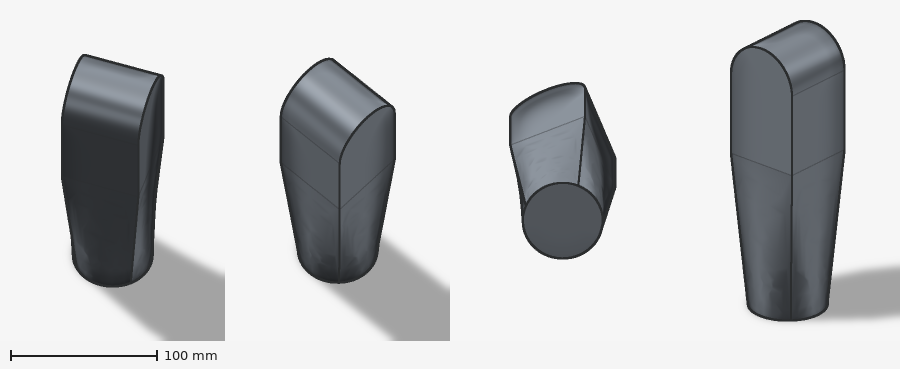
import cadquery as cq
import math

total_height = 202.5
width = 55.0
shank_diameter = 54.7
shank_height = 115.0

half_width = width / 2
head_axis_height = total_height - half_width


def make_shank():
    """Ruled transition from a circle at the base to the square of the head."""
    diagonal = shank_diameter / 2 * math.sqrt(0.5)
    radius = shank_diameter / 2
    return (
        cq.Workplane("XY")
        .moveTo(-diagonal, -diagonal)
        .threePointArc((0, -radius), (diagonal, -diagonal))
        .threePointArc((radius, 0), (diagonal, diagonal))
        .threePointArc((0, radius), (-diagonal, diagonal))
        .threePointArc((-radius, 0), (-diagonal, -diagonal))
        .close()
        .workplane(offset=shank_height)
        .moveTo(-half_width, -half_width)
        .lineTo(half_width, -half_width)
        .lineTo(half_width, half_width)
        .lineTo(-half_width, half_width)
        .close()
        .loft(ruled=True)
    )


def make_head():
    """Square body with a half-round top whose axis runs along X."""
    return (
        cq.Workplane("YZ")
        .moveTo(-half_width, shank_height)
        .lineTo(half_width, shank_height)
        .lineTo(half_width, head_axis_height)
        .threePointArc((0, total_height), (-half_width, head_axis_height))
        .close()
        .extrude(half_width, both=True)
    )


result = make_shank().union(make_head())